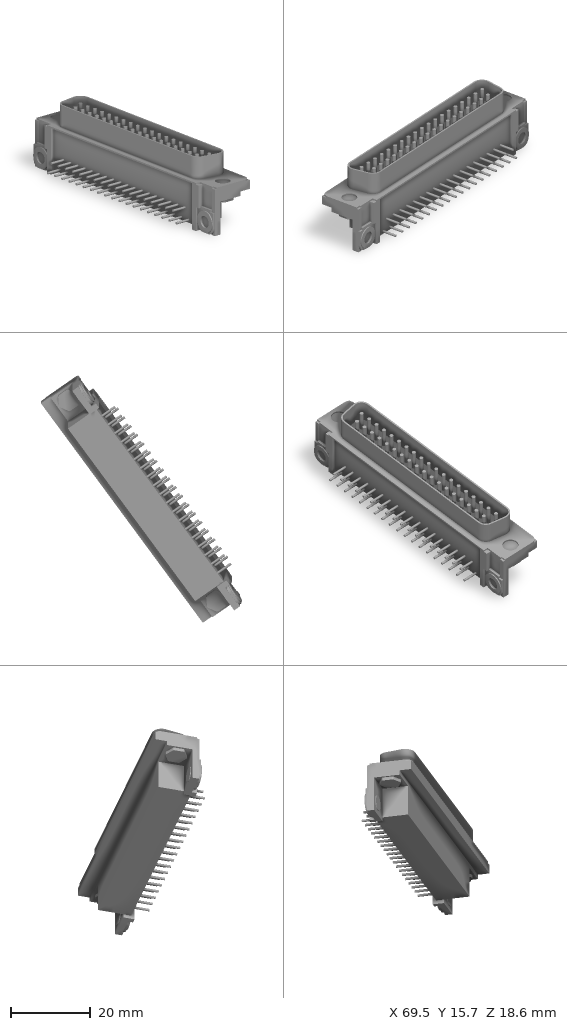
import cadquery as cq
import math


TOTAL_DEPTH = 15.7
TOTAL_HEIGHT = 18.6

FLANGE_LENGTH = 69.55
HALF_LENGTH = FLANGE_LENGTH / 2
FLANGE_BACK = 6.3
FLANGE_FRONT = -6.25
FLANGE_THICKNESS = 0.4
FLANGE_CORNER_RADIUS = 1.6
MOUNT_X = 31.8
MOUNT_DIAMETER = 3.95

SHELL_HEIGHT = 5.85
SHELL_HALF_WIDTH = 28.2
SHELL_HALF_DEPTH = 4.6
SHELL_RADIUS = 2.5
SHELL_WALL = 0.4
SHELL_SLANT = math.radians(10)

SHELF_BOTTOM = -2.8
BRIDGE_BOTTOM = -3.95
BODY_BOTTOM = -11.75
BODY_BACK = 3.35
BODY_FRONT = -5.35
BODY_HALF_LENGTH = 27.3

LEG_BOTTOM = SHELL_HEIGHT - TOTAL_HEIGHT
LEG_BACK = -BODY_BACK
LEG_FRONT = -5.15
CHANNEL_FLOOR = -4.95
CHANNEL_OUTER_X = 33.6
CHANNEL_INNER_X = 29.85
POST_X = 28.7
POST_LEDGE = -6.4
CORNER_NOTCH_Y = -4.6

STRAP_FRONT = -5.6
STRAP_NECK_TOP = -6.05
STRAP_SHOULDER = -6.7
STRAP_OUTER_X = 34.7
STRAP_BOTTOM = -12.6
STRAP_CORNER_RADIUS = 1.8
EYELET_Z = -9.6
EYELET_FRONT = -5.9
EYELET_DIAMETER = 5.7
EYELET_BORE_DIAMETER = 3.1
EYELET_BORE_DEPTH = 0.55
RIVET_HEIGHT = 0.2
RIVET_DIAMETER = 3.95

NUT_HEIGHT = 0.8
NUT_ACROSS_CORNERS = 5.7
NUT_CORNER_RADIUS = 0.55

LONG_ROW_COUNT = 19
SHORT_ROW_COUNT = 18
LONG_ROW_LENGTH = 49.7
PITCH = LONG_ROW_LENGTH / (LONG_ROW_COUNT - 1)
ROW_SPACING = 2.85
CONTACT_DIAMETER = 1.0
CONTACT_TOP = 5.15
TAIL_DIAMETER = 0.6
TAIL_END = FLANGE_BACK - TOTAL_DEPTH
UPPER_TAIL_Z = -8.1
LOWER_TAIL_Z = -11.0


def block(x_range, y_range, z_range):
    """Box between the two given limits on each axis, listed in either order."""
    sizes = [abs(limits[1] - limits[0]) for limits in (x_range, y_range, z_range)]
    corner = [min(limits) for limits in (x_range, y_range, z_range)]
    return cq.Workplane("XY").box(*sizes, centered=False).translate(tuple(corner))


def cylinder_along_y(diameter, x, z, y_start, y_end):
    """Cylinder from y_start forward to y_end, where y_end is the smaller."""
    plane = cq.Workplane("XZ", origin=(x, y_start, z))
    return plane.circle(diameter / 2).extrude(y_start - y_end)


def row_positions(count):
    """X positions of a row of contacts centred on the part."""
    return [(index - (count - 1) / 2) * PITCH for index in range(count)]


def d_prism(inset, height):
    """Rounded trapezoid, wider at the back, inset evenly from the shell's outer face."""
    radius = SHELL_RADIUS - inset
    half_depth = SHELL_HALF_DEPTH - inset
    arc_centre_x = SHELL_HALF_WIDTH - SHELL_RADIUS
    arc_centre_y = SHELL_HALF_DEPTH - SHELL_RADIUS
    side_x = arc_centre_x + radius / math.cos(SHELL_SLANT)
    slope = math.tan(SHELL_SLANT)
    back_x = side_x + (half_depth - arc_centre_y) * slope
    front_x = side_x - (half_depth + arc_centre_y) * slope
    corners = [
        (-back_x, half_depth),
        (back_x, half_depth),
        (front_x, -half_depth),
        (-front_x, -half_depth),
    ]
    return cq.Workplane("XY").polyline(corners).close().extrude(height).edges("|Z").fillet(radius)


def flange():
    """Plate with rounded back corners, cleared over the strap channels and the front corners."""
    plate = block((-HALF_LENGTH, HALF_LENGTH), (FLANGE_FRONT, FLANGE_BACK), (-FLANGE_THICKNESS, 0))
    plate = plate.edges("|Z and >Y").fillet(FLANGE_CORNER_RADIUS)
    thickness = (-FLANGE_THICKNESS, 0)
    for side in (-1, 1):
        end = side * HALF_LENGTH
        plate = plate.cut(block((side * POST_X, end), (FLANGE_FRONT, CHANNEL_FLOOR), thickness))
        plate = plate.cut(
            block((side * CHANNEL_OUTER_X, end), (FLANGE_FRONT, CORNER_NOTCH_Y), thickness)
        )
    mounts = cq.Workplane("XY").pushPoints([(-MOUNT_X, 0), (MOUNT_X, 0)])
    return plate.cut(mounts.circle(MOUNT_DIAMETER / 2).extrude(-FLANGE_THICKNESS))


def shell():
    """Open D-shaped shell standing on the flange."""
    return d_prism(0, SHELL_HEIGHT).cut(d_prism(SHELL_WALL, SHELL_HEIGHT))


def body():
    """Shelf and bridge as long as the flange, over a shorter and deeper core."""
    full_length = (-HALF_LENGTH, HALF_LENGTH)
    core_length = (-BODY_HALF_LENGTH, BODY_HALF_LENGTH)
    shelf = block(full_length, (CHANNEL_FLOOR, FLANGE_BACK), (SHELF_BOTTOM, -FLANGE_THICKNESS))
    bridge = block(full_length, (CHANNEL_FLOOR, BODY_BACK), (BRIDGE_BOTTOM, -FLANGE_THICKNESS))
    core = block(core_length, (BODY_FRONT, BODY_BACK), (BODY_BOTTOM, -FLANGE_THICKNESS))
    return shelf.union(bridge).union(core)


def end_leg(side):
    """Leg at one end, with its edge strip and its inner post framing the strap channel."""
    end = side * HALF_LENGTH
    strip_x = side * CHANNEL_OUTER_X
    channel_x = side * CHANNEL_INNER_X
    post_x = side * POST_X
    inner_x = side * BODY_HALF_LENGTH
    under_flange = -FLANGE_THICKNESS
    leg = block((inner_x, end), (CHANNEL_FLOOR, LEG_BACK), (LEG_BOTTOM, under_flange))
    leg = leg.union(block((strip_x, end), (LEG_FRONT, LEG_BACK), (LEG_BOTTOM, under_flange)))
    leg = leg.union(block((inner_x, post_x), (FLANGE_FRONT, LEG_BACK), (LEG_BOTTOM, under_flange)))
    return leg.union(
        block((inner_x, channel_x), (FLANGE_FRONT, LEG_BACK), (POST_LEDGE, under_flange))
    )


def strap(side):
    """Strap plate on the front of a leg, with the eyelet and the rivet head that hold it."""
    eyelet_x = side * (STRAP_OUTER_X + POST_X) / 2
    depth = (STRAP_FRONT, CHANNEL_FLOOR)
    plate = block((side * POST_X, side * STRAP_OUTER_X), depth, (STRAP_BOTTOM, STRAP_SHOULDER))
    plate = plate.edges("|Y and <Z").fillet(STRAP_CORNER_RADIUS)
    neck_x = (side * CHANNEL_INNER_X, side * CHANNEL_OUTER_X)
    neck = block(neck_x, depth, (STRAP_SHOULDER, STRAP_NECK_TOP))
    eyelet = cylinder_along_y(EYELET_DIAMETER, eyelet_x, EYELET_Z, CHANNEL_FLOOR, EYELET_FRONT)
    bore_floor = EYELET_FRONT + EYELET_BORE_DEPTH
    bore = cylinder_along_y(EYELET_BORE_DIAMETER, eyelet_x, EYELET_Z, bore_floor, EYELET_FRONT)
    rivet = cylinder_along_y(RIVET_DIAMETER, eyelet_x, EYELET_Z, LEG_BACK + RIVET_HEIGHT, LEG_BACK)
    return plate.union(neck).union(eyelet).cut(bore).union(rivet)


def nut(side):
    """Hexagonal nut with rounded corners, one corner pointing back and one forward."""
    hexagon = cq.Workplane("XY").polygon(6, NUT_ACROSS_CORNERS).extrude(-NUT_HEIGHT)
    hexagon = hexagon.edges("|Z").fillet(NUT_CORNER_RADIUS)
    return hexagon.rotate((0, 0, 0), (0, 0, 1), 90).translate((side * MOUNT_X, 0, BRIDGE_BOTTOM))


def contact_row(count, contact_y, tail_z):
    """Mating pins standing in the shell and solder tails leaving the body front."""
    positions = row_positions(count)
    pins = cq.Workplane("XY").pushPoints([(x, contact_y) for x in positions])
    pins = pins.circle(CONTACT_DIAMETER / 2).extrude(CONTACT_TOP)
    tails = cq.Workplane("XZ", origin=(0, BODY_FRONT, 0)).pushPoints([(x, tail_z) for x in positions])
    tails = tails.circle(TAIL_DIAMETER / 2).extrude(BODY_FRONT - TAIL_END)
    return pins.add(tails)


result = body().union(flange()).union(shell())
for end_side in (-1, 1):
    result = result.union(end_leg(end_side)).union(strap(end_side)).union(nut(end_side))
result = result.union(contact_row(LONG_ROW_COUNT, ROW_SPACING / 2, LOWER_TAIL_Z))
result = result.union(contact_row(SHORT_ROW_COUNT, -ROW_SPACING / 2, UPPER_TAIL_Z))